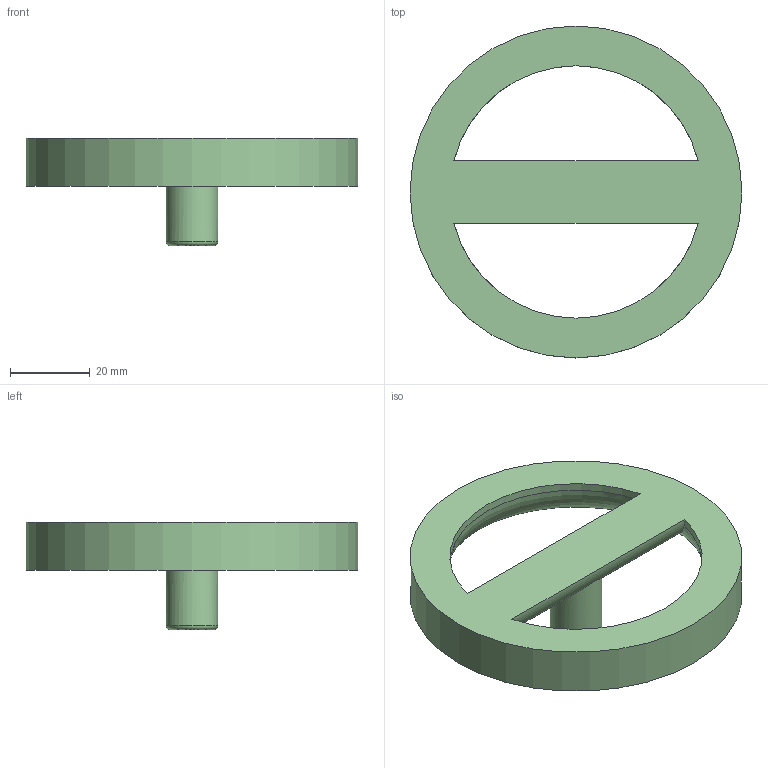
import cadquery as cq

ring_outer_diameter = 83.4
ring_width = 10.0
ring_height = 12.0
ring_outer_radius = ring_outer_diameter / 2
ring_inner_radius = ring_outer_radius - ring_width

bar_width = 15.8
bar_radius = bar_width / 2
bar_length = 2 * (ring_inner_radius + ring_width / 2)

shaft_diameter = 13.0
shaft_length = 15.0
shaft_tip_fillet = 1.0


def make_ring():
    """Revolve the ring section; its inner underside is a quarter round as wide as the ring."""
    round_radius = ring_width
    lip_bottom = round_radius
    section = (
        cq.Workplane("XZ")
        .moveTo(ring_inner_radius, ring_height)
        .lineTo(ring_outer_radius, ring_height)
        .lineTo(ring_outer_radius, 0)
        .radiusArc((ring_inner_radius, lip_bottom), round_radius)
        .close()
    )
    return section.revolve(360, (0, 0, 0), (0, 1, 0))


def make_bar():
    """Extrude the half-round bar section so that both ends are buried in the ring."""
    section = (
        cq.Workplane("YZ")
        .workplane(offset=-bar_length / 2)
        .moveTo(-bar_radius, ring_height)
        .lineTo(bar_radius, ring_height)
        .threePointArc((0, ring_height - bar_radius), (-bar_radius, ring_height))
        .close()
    )
    return section.extrude(bar_length)


def make_shaft():
    """Round shaft from inside the bar down to a tip with a rounded edge."""
    shaft_top = ring_height - bar_radius / 2
    shaft = (
        cq.Workplane("XY")
        .workplane(offset=-shaft_length)
        .circle(shaft_diameter / 2)
        .extrude(shaft_length + shaft_top)
    )
    return shaft.faces("<Z").edges().fillet(shaft_tip_fillet)


result = make_ring().union(make_bar()).union(make_shaft())